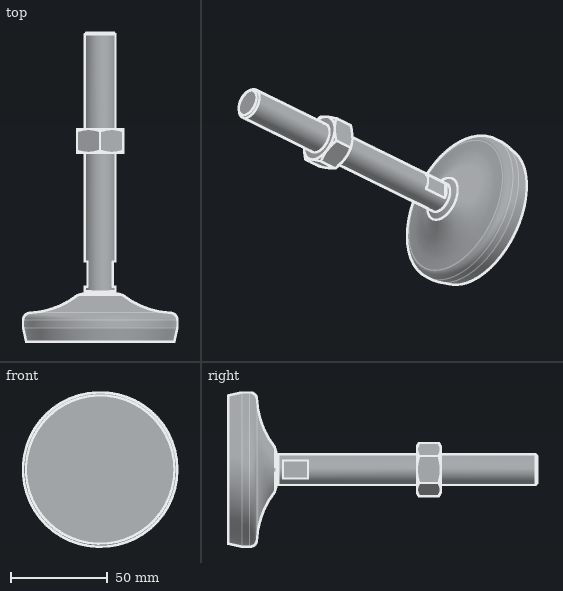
import cadquery as cq
import math


total_height = 160.0

foot_radius = 40.0
sole_radius = 38.4
taper_height = 7.2
shoulder_height = 15.0
shoulder_fillet = 3.8
shoulder_radius = foot_radius - shoulder_fillet
flank_mid_radius = 20.0
flank_mid_height = 19.0
collar_radius = 11.7
collar_height = 24.2
crown_mid_radius = 10.2
crown_mid_height = 24.6
crown_radius = 7.7
crown_height = 25.1

neck_radius = 10.0 / 2

stud_radius = 16.0 / 2
stud_start = 26.0
tip_chamfer = 1.1

flats_width = 13.1
flats_start = 28.5
flats_end = 41.5

nut_width = 24.0
nut_start = 97.6
nut_height = 12.5
nut_face_radius = nut_width / 2 - 0.2
nut_chamfer_angle = math.radians(30)


def revolve_about_y(profile):
    return profile.close().revolve(360, (0, 0, 0), (0, 1, 0))


def make_foot():
    """Tapered rim, rounded shoulder, concave flank, rounded crown and neck."""
    fillet_offset = shoulder_fillet * math.sqrt(0.5)
    fillet_centre_height = shoulder_height - shoulder_fillet
    fillet_mid = (shoulder_radius + fillet_offset, fillet_centre_height + fillet_offset)
    profile = (
        cq.Workplane("XY")
        .moveTo(0, 0)
        .lineTo(sole_radius, 0)
        .lineTo(foot_radius, taper_height)
        .lineTo(foot_radius, fillet_centre_height)
        .threePointArc(fillet_mid, (shoulder_radius, shoulder_height))
        .threePointArc((flank_mid_radius, flank_mid_height), (collar_radius, collar_height))
        .threePointArc((crown_mid_radius, crown_mid_height), (crown_radius, crown_height))
        .lineTo(neck_radius, crown_height)
        .lineTo(neck_radius, stud_start)
        .lineTo(0, stud_start)
    )
    return revolve_about_y(profile)


def make_stud():
    """Round stud with a chamfered tip and two wrench flats facing +X and -X."""
    profile = (
        cq.Workplane("XY")
        .moveTo(0, stud_start)
        .lineTo(stud_radius, stud_start)
        .lineTo(stud_radius, total_height - tip_chamfer)
        .lineTo(stud_radius - tip_chamfer, total_height)
        .lineTo(0, total_height)
    )
    stud = revolve_about_y(profile)
    cut_size = 2 * stud_radius
    flats_length = flats_end - flats_start
    flats_middle = (flats_start + flats_end) / 2
    for side in (-1, 1):
        cutter = cq.Workplane("XY").box(cut_size, flats_length, cut_size)
        cut_centre = side * (flats_width + cut_size) / 2
        stud = stud.cut(cutter.translate((cut_centre, flats_middle, 0)))
    return stud


def make_nut():
    """Hexagon with corners on the Z axis, its two ends trimmed by cones."""
    corner_radius = nut_width / 2 / math.cos(math.radians(30))
    corners = []
    for index in range(6):
        angle = math.radians(90 + 60 * index)
        corners.append((corner_radius * math.cos(angle), corner_radius * math.sin(angle)))
    hexagon = (
        cq.Workplane("XZ", origin=(0, nut_start, 0))
        .polyline(corners)
        .close()
        .extrude(-nut_height)
    )
    nut_end = nut_start + nut_height
    chamfer_height = (corner_radius - nut_face_radius) * math.tan(nut_chamfer_angle)
    envelope = (
        cq.Workplane("XY")
        .moveTo(0, nut_start)
        .lineTo(nut_face_radius, nut_start)
        .lineTo(corner_radius, nut_start + chamfer_height)
        .lineTo(corner_radius, nut_end - chamfer_height)
        .lineTo(nut_face_radius, nut_end)
        .lineTo(0, nut_end)
    )
    return hexagon.intersect(revolve_about_y(envelope))


result = make_foot().union(make_stud()).union(make_nut())